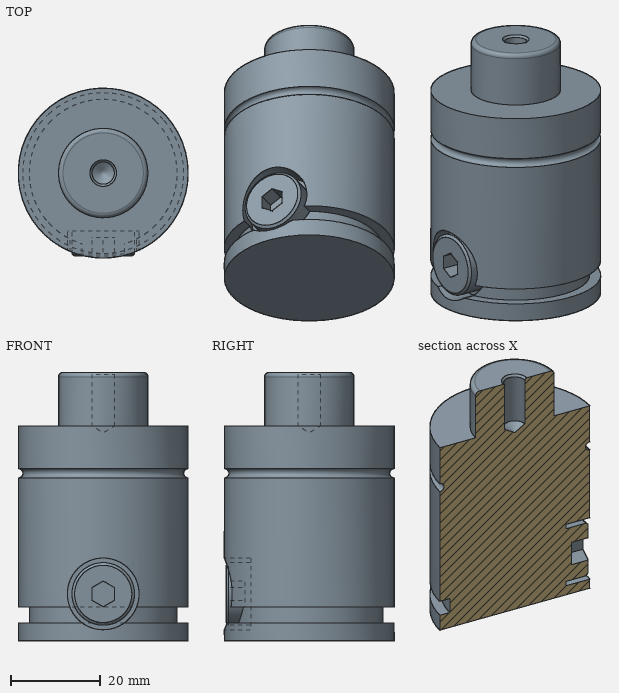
import cadquery as cq
import math

body_diameter = 38.0
body_radius = body_diameter / 2
body_height = 48
neck_diameter = 33
neck_bottom = 4.0
neck_top = 7.55
round_groove_radius = 1.0
round_groove_height = 37.45

total_height = 60
rod_diameter = 20.0
rod_edge_radius = 1.0
rod_hole_diameter = 5.0
rod_hole_depth = 12
rod_hole_chamfer = 0.5
drill_point_angle = 118

screw_height = 10.5
pocket_diameter = 16.0
pocket_depth = 6
screw_diameter = 14.0
screw_face_setback = 0.4
screw_chamfer_radial = 0.5
screw_chamfer_axial = 0.6
hex_across_flats = 5.0
hex_depth = 4.2


def make_body():
    body = cq.Workplane("XY").circle(body_radius).extrude(body_height)
    neck_groove = (
        cq.Workplane("XY", origin=(0, 0, neck_bottom))
        .circle(body_radius + 0.6)
        .circle(neck_diameter / 2)
        .extrude(neck_top - neck_bottom)
    )
    round_groove = cq.Workplane("XY").add(
        cq.Solid.makeTorus(body_radius, round_groove_radius, cq.Vector(0, 0, round_groove_height))
    )
    return body.cut(neck_groove).cut(round_groove)


def make_rod():
    return (
        cq.Workplane("XY", origin=(0, 0, body_height))
        .circle(rod_diameter / 2)
        .extrude(total_height - body_height)
        .faces(">Z")
        .edges()
        .fillet(rod_edge_radius)
    )


def make_rod_hole():
    """Blind drilled hole with a conical bottom and a chamfered mouth."""
    radius = rod_hole_diameter / 2
    floor = total_height - rod_hole_depth
    tip = floor - radius / math.tan(math.radians(drill_point_angle / 2))
    return (
        cq.Workplane("XZ")
        .moveTo(0, tip)
        .lineTo(radius, floor)
        .lineTo(radius, total_height - rod_hole_chamfer)
        .lineTo(radius + rod_hole_chamfer, total_height)
        .lineTo(0, total_height)
        .close()
        .revolve(360, (0, 0, 0), (0, 1, 0))
    )


def side_plane(setback):
    """Sketch plane facing -Y, set back from the outermost point of the body."""
    return cq.Workplane("XZ", origin=(0, setback - body_radius, screw_height))


def make_pocket():
    return side_plane(0).circle(pocket_diameter / 2).extrude(-pocket_depth)


def make_screw():
    screw = (
        side_plane(screw_face_setback)
        .circle(screw_diameter / 2)
        .extrude(screw_face_setback - pocket_depth)
    )
    rim = screw.faces("<Y").edges().vals()
    head = cq.Workplane("XY").add(
        screw.val().chamfer(screw_chamfer_radial, screw_chamfer_axial, rim)
    )
    hex_circumscribed = hex_across_flats / math.cos(math.pi / 6)
    socket = (
        side_plane(screw_face_setback)
        .transformed(rotate=(0, 0, 90))
        .polygon(6, hex_circumscribed)
        .extrude(-hex_depth)
    )
    return head.cut(socket)


result = (
    make_body()
    .union(make_rod())
    .cut(make_rod_hole())
    .cut(make_pocket())
    .union(make_screw())
)